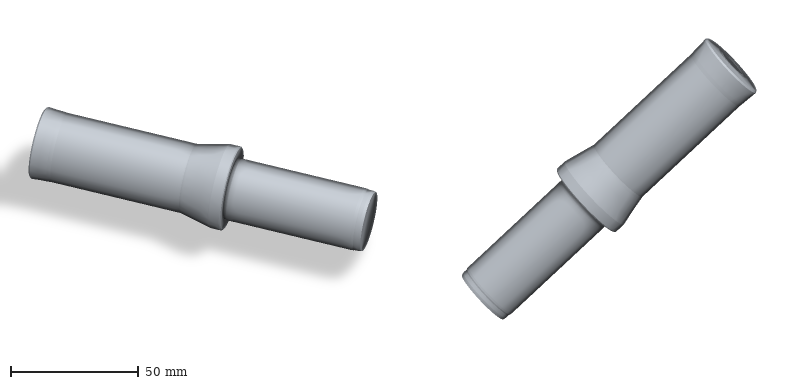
import cadquery as cq

total_length = 136.0
joint_x = 79.8

lip_radius = 8.2
lip_outer_radius = 9.1
lip_drop = 0.11
face_radius = 13.9
face_drop = 0.5
valley_radius = 7.0
valley_depth = 0.1
inner_crest_radius = 5.6
inner_crest_depth = 0.03
recess_radius = 5.2
recess_depth = 0.4

nose_radius = 14.5
nose_start_x = 1.2
nose_taper_end_x = 7.9
nose_taper_end_radius = 14.1
barrel_start_x = 9.5
barrel_radius = 28.0 / 2
barrel_end_x = 62.3
flare_start_x = 63.5
flare_start_radius = 14.3
collar_radius = 34.0 / 2
collar_start_x = 75.2
collar_blend = 0.4
collar_blend_drop = 0.1
collar_chamfer = 0.4

neck_radius = 24.5 / 2
land_radius = 25.0 / 2
step_length = 0.5
taper_length = 0.8
taper_drop = 0.07
land_step_start_x = 80.6
land_step_end_x = 133.1
end_bevel_length = 1.2
end_bevel_drop = 0.3


def revolve_about_x(points):
    """Turn a closed (x, radius) outline about the X axis into one solid."""
    outline = cq.Workplane("XY").polyline(points).close()
    return outline.revolve(360, (0, 0, 0), (1, 0, 0))


def make_grip():
    end_face = [
        (recess_depth, 0),
        (recess_depth, recess_radius),
        (inner_crest_depth, inner_crest_radius),
        (valley_depth, valley_radius),
        (0, lip_radius),
        (lip_drop, lip_outer_radius),
        (face_drop, face_radius),
    ]
    barrel = [
        (nose_start_x, nose_radius),
        (nose_taper_end_x, nose_taper_end_radius),
        (barrel_start_x, barrel_radius),
        (barrel_end_x, barrel_radius),
        (flare_start_x, flare_start_radius),
    ]
    collar = [
        (collar_start_x - collar_blend, collar_radius - collar_blend_drop),
        (collar_start_x, collar_radius),
        (joint_x - collar_chamfer, collar_radius),
        (joint_x, collar_radius - collar_chamfer),
        (joint_x, 0),
    ]
    return revolve_about_x(end_face + barrel + collar)


def make_spigot():
    taper_radius = land_radius - taper_drop
    front_bevel_end = land_step_start_x + step_length
    rear_bevel_start = land_step_end_x - step_length
    return revolve_about_x([
        (joint_x, 0),
        (joint_x, neck_radius),
        (land_step_start_x, neck_radius),
        (front_bevel_end, taper_radius),
        (front_bevel_end + taper_length, land_radius),
        (rear_bevel_start - taper_length, land_radius),
        (rear_bevel_start, taper_radius),
        (land_step_end_x, neck_radius),
        (total_length - end_bevel_length, neck_radius),
        (total_length, neck_radius - end_bevel_drop),
        (total_length, 0),
    ])


grip = make_grip()
spigot = make_spigot()

result = cq.Compound.makeCompound([grip.val(), spigot.val()])